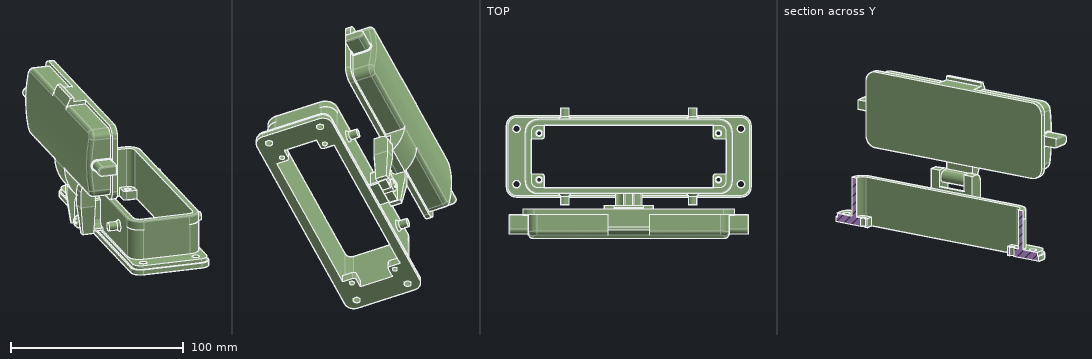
import cadquery as cq
import math

flange_length = 142.0
flange_width = 47.3
flange_radius = 5.8
flange_step_z = 3.1
flange_top_z = 5.4
flange_step_inset = 1.0
flange_hole_d = 4.1
flange_hole_x = 65.0
flange_hole_y = 16.0

housing_length = 120.0
housing_width = 43.2
housing_top_z = 29.0
housing_split_z = 23.6
lower_corner_radius = 7.2
upper_corner_radius = 7.7
wall = 3.5
rim_fillet = 0.5
cavity_length = housing_length - 2 * wall
cavity_width = housing_width - 2 * wall
cavity_radius = lower_corner_radius - wall
wall_front_y = -housing_width / 2

tab_length = 7.5
tab_width = 8.0
tab_radius = 1.7
tab_hole_d = 2.8
tab_hole_x = 52.0
tab_hole_y = 13.5
tab_hole_chamfer = 0.4

pin_x = 37.0
pin_z = 19.0
pin_d = 5.0
pin_tip_y = 28.1
pin_foot_d = 7.0
pin_foot_length = 1.5

bracket_back_y = -28.4
bracket_front_y = -38.0
cheek_setback = 1.0
bracket_foot_y = -35.5
bracket_top_z = 38.0
bracket_bend_z = housing_split_z
bracket_foot_z = 5.7
bracket_round = 4.8
bracket_half = 14.3
bracket_foot_half = 11.5
slot_half_front = 9.0
slot_half_back = 8.5
web_face_y = -33.5
web_shoulder_z = 17.0
web_slope_start = (-32.8, 20.9)
web_slope_end = (-30.4, 26.3)
web_top = (-29.5, 28.0)
web_foot_z = 6.2

rib_half = 3.1
rib_top_chamfer = 0.9
rib_foot_half = 7.8
rib_foot_thickness = 1.3
rib_root_radius = 3.5

screw_z = 9.7
screw_d = 7.4
screw_rim = 0.9
screw_dome = 2.4
recess_length = 4.3
recess_width = 1.3
recess_depth = 1.3

lid_back_y = -30.4
lid_plate_front_y = -33.7
lid_front_y = -47.5
lid_center_z = 66.2
lid_plate_length = 122.7
lid_plate_height = 45.9
lid_plate_radius = 6.5
lid_length = 116.0
lid_height = 41.2
lid_radius = 4.8
lid_edge_fillet = 2.4
lid_crown_radius = 90.9
lid_plate_top_z = lid_center_z + lid_plate_height / 2
lid_plate_foot_z = lid_center_z - lid_plate_height / 2

lug_tip_x = 69.5
lug_height = 5.8
lug_front_y = -45.0
lug_foot_x = 58.5
lug_foot_margin = 0.5
lug_tip_fillet = 0.5

grip_half = 12.0
grip_top_z = 91.3
grip_back_y = -40.8
grip_tip_y = -42.7
grip_foot_z = 86.0
crown_overlap = 4.3
arm_half = slot_half_front
arm_back_y = -36.5
arm_root_z = 46.7
arm_bulge = (-43.2, 37.2)
arm_tip = (-38.0, 29.7)
pivot_y = -33.4
pivot_z = 33.2
pivot_radius = pivot_z - arm_tip[1]


def extrude_across(outline, half_width):
    """Extrude a (Y, Z) outline symmetrically about X = 0."""
    return outline.extrude(half_width, both=True)


def side_plane():
    return cq.Workplane("YZ")


def front_plane(y):
    """Plane at the given Y whose extrusions run toward -Y."""
    return cq.Workplane("XZ", origin=(0, y, 0))


def rounded_block(length, width, bottom_z, top_z, radius):
    block = cq.Workplane("XY", origin=(0, 0, bottom_z)).rect(length, width).extrude(top_z - bottom_z)
    return block.edges("|Z").fillet(radius)


def upright_block(length, height, back_y, front_y, radius):
    """Block with rounded corners that stands at the height of the lid."""
    block = front_plane(back_y).center(0, lid_center_z).rect(length, height).extrude(back_y - front_y)
    return block.edges("|Y").fillet(radius)


def make_base():
    """Stepped flange and open rectangular housing with four mounting holes."""
    shrink = 2 * flange_step_inset
    base = rounded_block(flange_length, flange_width, 0, flange_step_z, flange_radius)
    base = base.union(rounded_block(
        flange_length - shrink, flange_width - shrink, flange_step_z, flange_top_z,
        flange_radius - flange_step_inset))
    base = base.union(rounded_block(
        housing_length, housing_width, flange_top_z, housing_split_z, lower_corner_radius))
    upper = rounded_block(
        housing_length, housing_width, housing_split_z, housing_top_z, upper_corner_radius)
    base = base.union(upper.faces(">Z").edges().fillet(rim_fillet))
    base = base.cut(rounded_block(cavity_length, cavity_width, 0, housing_top_z, cavity_radius))
    holes = (
        cq.Workplane("XY")
        .rect(2 * flange_hole_x, 2 * flange_hole_y, forConstruction=True)
        .vertices()
        .circle(flange_hole_d / 2)
        .extrude(flange_top_z)
    )
    return base.cut(holes)


def make_corner_tabs():
    """Four drilled tabs, each overlapping the wall corner it grows from."""
    block_x = tab_length + wall / 2
    block_y = tab_width + wall / 2
    center_x = cavity_length / 2 - tab_length + block_x / 2
    center_y = cavity_width / 2 - tab_width + block_y / 2
    tab = cq.Workplane("XY").center(center_x, center_y).rect(block_x, block_y).extrude(flange_top_z)
    tab = tab.edges("|Z and <X and <Y").fillet(tab_radius)
    drill = cq.Workplane("XY").center(tab_hole_x, tab_hole_y).circle(tab_hole_d / 2).extrude(flange_top_z)
    tab = tab.cut(drill)
    tab = tab.faces(">Z").edges("%CIRCLE").edges(cq.selectors.RadiusNthSelector(0)).chamfer(tab_hole_chamfer)
    pair = tab.union(tab.mirror("YZ"))
    return pair.union(pair.mirror("XZ"))


def make_pin(x):
    """Round pin with a conical foot, revolved about its own Y axis."""
    wall_y = -wall_front_y
    profile = [
        (0, wall_y - wall / 2),
        (pin_foot_d / 2, wall_y - wall / 2),
        (pin_foot_d / 2, wall_y),
        (pin_d / 2, wall_y + pin_foot_length),
        (pin_d / 2, pin_tip_y),
        (0, pin_tip_y),
    ]
    return (
        cq.Workplane("XY").polyline(profile).close()
        .revolve(360, (0, 0, 0), (0, 1, 0))
        .translate((x, 0, pin_z))
    )


def cheek_outline(sketch, setback):
    """Side outline of a cheek with its front moved back by the given amount."""
    front_y = bracket_front_y + setback
    return (
        sketch
        .moveTo(bracket_back_y, bracket_foot_z)
        .lineTo(bracket_back_y, bracket_top_z)
        .lineTo(front_y + bracket_round, bracket_top_z)
        .radiusArc((front_y, bracket_top_z - bracket_round), -bracket_round)
        .lineTo(front_y, bracket_bend_z)
        .lineTo(bracket_foot_y + setback, bracket_foot_z)
        .close()
    )


def make_cheek():
    """Cheek on the +X side, whose front recedes toward its outer face."""
    inner = cheek_outline(cq.Workplane("YZ", origin=(slot_half_back, 0, 0)), 0)
    outer = cheek_outline(inner.workplane(offset=bracket_half - slot_half_back), cheek_setback)
    return outer.loft(ruled=True)


def make_bracket():
    """Two tapered cheeks joined by a web between them."""
    cheek = make_cheek()
    cheeks = cheek.union(cheek.mirror("YZ"))
    face = front_plane(bracket_back_y).polyline([
        (-bracket_foot_half, bracket_foot_z),
        (bracket_foot_half, bracket_foot_z),
        (bracket_half, bracket_bend_z),
        (bracket_half, bracket_top_z),
        (-bracket_half, bracket_top_z),
        (-bracket_half, bracket_bend_z),
    ]).close().extrude(bracket_back_y - bracket_front_y)
    slot = cq.Workplane("XY", origin=(0, 0, bracket_foot_z)).polyline([
        (-slot_half_back, bracket_back_y),
        (slot_half_back, bracket_back_y),
        (slot_half_front, bracket_front_y),
        (-slot_half_front, bracket_front_y),
    ]).close().extrude(bracket_top_z - bracket_foot_z)
    web = extrude_across(
        side_plane()
        .moveTo(bracket_back_y, web_foot_z)
        .lineTo(web_face_y, web_foot_z)
        .lineTo(web_face_y, web_shoulder_z)
        .tangentArcPoint(web_slope_start, relative=False)
        .lineTo(*web_slope_end)
        .lineTo(*web_top)
        .lineTo(bracket_back_y, web_top[1])
        .close(),
        slot_half_front)
    return cheeks.intersect(face).cut(slot).union(web)


def make_rib():
    """Upright rib with a chamfered crest on a foot plate, with concave roots on both sides."""
    start_y = wall_front_y + wall / 2
    foot_top_z = bracket_foot_z + rib_foot_thickness
    root_x = rib_half + rib_root_radius
    shoulder_z = housing_split_z - rib_top_chamfer
    crest_half = rib_half - rib_top_chamfer
    root_z = foot_top_z + rib_root_radius
    return (
        front_plane(start_y)
        .moveTo(-rib_foot_half, bracket_foot_z)
        .lineTo(rib_foot_half, bracket_foot_z)
        .lineTo(rib_foot_half, foot_top_z)
        .lineTo(root_x, foot_top_z)
        .radiusArc((rib_half, root_z), rib_root_radius)
        .lineTo(rib_half, shoulder_z)
        .lineTo(crest_half, housing_split_z)
        .lineTo(-crest_half, housing_split_z)
        .lineTo(-rib_half, shoulder_z)
        .lineTo(-rib_half, root_z)
        .radiusArc((-root_x, foot_top_z), rib_root_radius)
        .lineTo(-rib_foot_half, foot_top_z)
        .close()
        .extrude(start_y - bracket_back_y)
    )


def make_screw():
    """Domed screw head with a cross recess."""
    radius = screw_d / 2
    rim_y = web_face_y - screw_rim
    tip_y = rim_y - screw_dome
    dome_radius = (radius**2 + screw_dome**2) / (2 * screw_dome)
    head = (
        cq.Workplane("XY")
        .moveTo(0, bracket_back_y)
        .lineTo(radius, bracket_back_y)
        .lineTo(radius, rim_y)
        .radiusArc((0, tip_y), dome_radius)
        .close()
        .revolve(360, (0, 0, 0), (0, 1, 0))
        .translate((0, 0, screw_z))
    )
    floor = front_plane(tip_y + recess_depth).center(0, screw_z)
    for size in [(recess_length, recess_width), (recess_width, recess_length)]:
        head = head.cut(floor.rect(*size).extrude(recess_depth))
    return head


def crown_point(z):
    """Point (Y, Z) on the crowned front of the lid at height z."""
    drop = lid_crown_radius - math.sqrt(lid_crown_radius**2 - (z - lid_center_z) ** 2)
    return (lid_front_y + drop, z)


def make_lid():
    """Flat plate carrying a cover with a crowned, rounded front."""
    plate = upright_block(
        lid_plate_length, lid_plate_height, lid_back_y, lid_plate_front_y, lid_plate_radius)
    cover = upright_block(lid_length, lid_height, lid_plate_front_y, lid_front_y, lid_radius)
    crown = extrude_across(
        side_plane().center(lid_front_y + lid_crown_radius, lid_center_z).circle(lid_crown_radius),
        lid_plate_length)
    cover = cover.intersect(crown)
    cover = cover.faces("<Y").edges().fillet(lid_edge_fillet)
    return plate.union(cover)


def lug_block(height, front_y, tip_x):
    """Bar across the lid with a half-round front."""
    half = height / 2
    return extrude_across(
        side_plane()
        .moveTo(lid_plate_front_y, lid_center_z - half)
        .lineTo(lid_plate_front_y, lid_center_z + half)
        .lineTo(front_y + half, lid_center_z + half)
        .threePointArc((front_y, lid_center_z), (front_y + half, lid_center_z - half))
        .close(),
        tip_x)


def make_lugs():
    """Side lugs, each with a slightly wider foot on the cover and a thin pad on the plate."""
    bar = lug_block(lug_height, lug_front_y, lug_tip_x).faces("<X or >X").edges().fillet(lug_tip_fillet)
    foot_height = lug_height + 2 * lug_foot_margin
    foot = lug_block(foot_height, lug_front_y - lug_foot_margin, lug_foot_x)
    pad = (
        front_plane(lid_plate_front_y)
        .center(0, lid_center_z)
        .rect(lid_plate_length, foot_height)
        .extrude(lug_foot_margin)
    )
    return bar.union(foot).union(pad)


def make_grip():
    """Finger tab on the top edge of the lid."""
    grip_root_z = grip_foot_z - crown_overlap
    return extrude_across(
        side_plane()
        .moveTo(lid_plate_front_y, grip_root_z)
        .lineTo(lid_plate_front_y, lid_plate_top_z)
        .lineTo(grip_back_y, lid_plate_top_z)
        .lineTo(grip_back_y, grip_top_z)
        .lineTo(grip_tip_y, grip_top_z)
        .lineTo(*crown_point(grip_foot_z))
        .radiusArc(crown_point(grip_root_z), -lid_crown_radius)
        .close(),
        grip_half)


def make_arm():
    """Curved arm that reaches from the lid into the bracket, ending in a round pivot."""
    arm_start_z = arm_root_z + crown_overlap
    arm = extrude_across(
        side_plane()
        .moveTo(lid_plate_front_y, arm_start_z)
        .lineTo(*crown_point(arm_start_z))
        .radiusArc(crown_point(arm_root_z), -lid_crown_radius)
        .threePointArc(arm_bulge, arm_tip)
        .lineTo(pivot_y, arm_tip[1])
        .lineTo(pivot_y, pivot_z + pivot_radius)
        .lineTo(arm_back_y, pivot_z + pivot_radius)
        .lineTo(arm_back_y, lid_plate_foot_z)
        .lineTo(lid_plate_front_y, lid_plate_foot_z)
        .close(),
        arm_half)
    pivot = extrude_across(side_plane().center(pivot_y, pivot_z).circle(pivot_radius), arm_half)
    return arm.union(pivot)


result = make_base().union(make_corner_tabs())
for x in (-pin_x, pin_x):
    pin = make_pin(x)
    result = result.union(pin).union(pin.mirror("XZ"))
for feature in (make_bracket, make_rib, make_screw, make_lid, make_lugs, make_grip, make_arm):
    result = result.union(feature())